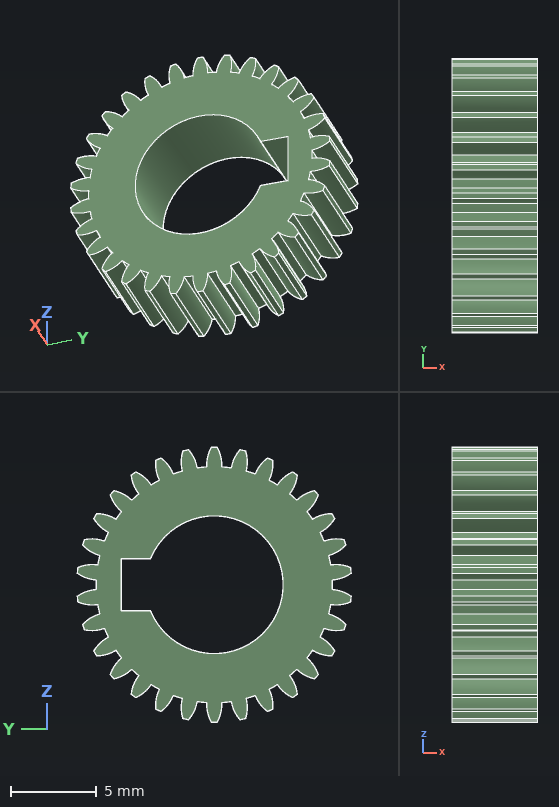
import cadquery as cq
import math

module = 0.5
tooth_count = 30
pressure_angle = math.radians(20)
dedendum_factor = 1.25
face_width = 5.0
tooth_thinning = 0.03

bore_diameter = 8.0
keyway_width = 3.0
keyway_depth = 1.4

pitch_radius = module * tooth_count / 2
tip_radius = pitch_radius + module
root_radius = pitch_radius - dedendum_factor * module
base_radius = pitch_radius * math.cos(pressure_angle)
pitch_thickness = math.pi * module / 2 - tooth_thinning
bore_radius = bore_diameter / 2


def involute(angle):
    return math.tan(angle) - angle


def half_tooth_angle(radius):
    """Angle from the tooth centreline to its flank; constant below the base circle."""
    flank_angle = math.acos(min(1.0, base_radius / radius))
    return pitch_thickness / (2 * pitch_radius) + involute(pressure_angle) - involute(flank_angle)


def polar(radius, angle):
    """Point in the YZ plane, with the angle measured from +Z towards +Y."""
    return (radius * math.sin(angle), radius * math.cos(angle))


def gear_blank():
    """Toothed disc; each flank is one arc that follows the involute from root to tip."""
    pitch_angle = 2 * math.pi / tooth_count
    root_half_angle = half_tooth_angle(root_radius)
    pitch_half_angle = half_tooth_angle(pitch_radius)
    tip_half_angle = half_tooth_angle(tip_radius)

    outline = cq.Workplane("YZ").moveTo(*polar(root_radius, -root_half_angle))
    for tooth in range(tooth_count):
        centre = tooth * pitch_angle
        gap_centre = centre + pitch_angle / 2
        next_centre = centre + pitch_angle
        outline = (
            outline
            .threePointArc(
                polar(pitch_radius, centre - pitch_half_angle),
                polar(tip_radius, centre - tip_half_angle),
            )
            .threePointArc(
                polar(tip_radius, centre),
                polar(tip_radius, centre + tip_half_angle),
            )
            .threePointArc(
                polar(pitch_radius, centre + pitch_half_angle),
                polar(root_radius, centre + root_half_angle),
            )
            .threePointArc(
                polar(root_radius, gap_centre),
                polar(root_radius, next_centre - root_half_angle),
            )
        )
    return outline.close().extrude(face_width)


def keyed_bore():
    bore = cq.Workplane("YZ").circle(bore_radius).extrude(face_width)
    keyway_reach = bore_radius + keyway_depth
    keyway = (
        cq.Workplane("YZ")
        .center(keyway_reach / 2, 0)
        .rect(keyway_reach, keyway_width)
        .extrude(face_width)
    )
    return bore.union(keyway)


result = gear_blank().cut(keyed_bore())